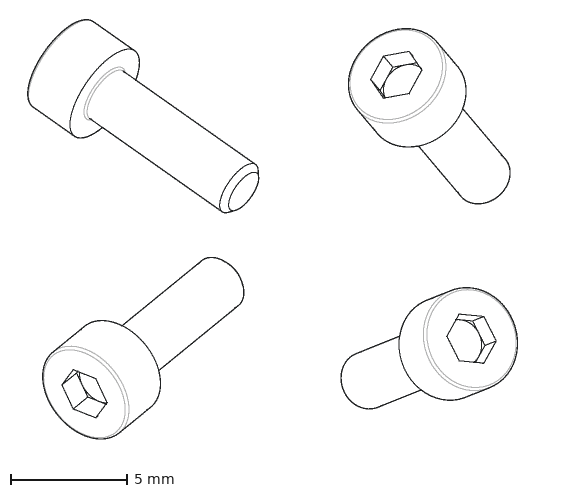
import cadquery as cq
import math

total_length = 10.5
head_diameter = 4.5
head_length = 2.5
head_edge_radius = 0.12
shank_diameter = 2.5
under_head_radius = 0.09
tip_chamfer = 0.27
socket_across_flats = 2.05
socket_depth = 1.1
socket_cone_angle = 120.0

head_radius = head_diameter / 2
shank_radius = shank_diameter / 2


def make_body():
    """Revolve the half profile of the head and shank about the X axis."""
    arc_share = 1 - math.sqrt(0.5)
    edge_offset = head_edge_radius * arc_share
    root_offset = under_head_radius * arc_share
    return (
        cq.Workplane("XY")
        .lineTo(0, head_radius - head_edge_radius)
        .threePointArc(
            (edge_offset, head_radius - edge_offset),
            (head_edge_radius, head_radius),
        )
        .lineTo(head_length, head_radius)
        .lineTo(head_length, shank_radius + under_head_radius)
        .threePointArc(
            (head_length + root_offset, shank_radius + root_offset),
            (head_length + under_head_radius, shank_radius),
        )
        .lineTo(total_length - tip_chamfer, shank_radius)
        .lineTo(total_length, shank_radius - tip_chamfer)
        .lineTo(total_length, 0)
        .close()
        .revolve(360, (0, 0, 0), (1, 0, 0))
    )


def make_socket():
    """Hexagonal recess with corners toward +Y and -Y and a conical bottom."""
    across_corners = socket_across_flats / math.cos(math.radians(30))
    hexagon = cq.Workplane("YZ").polygon(6, across_corners).extrude(socket_depth)
    cone_radius = socket_across_flats / 2
    cone_depth = cone_radius / math.tan(math.radians(socket_cone_angle / 2))
    cone = (
        cq.Workplane("XY")
        .moveTo(socket_depth, 0)
        .lineTo(socket_depth, cone_radius)
        .lineTo(socket_depth + cone_depth, 0)
        .close()
        .revolve(360, (0, 0, 0), (1, 0, 0))
    )
    return hexagon.union(cone)


result = make_body().cut(make_socket())